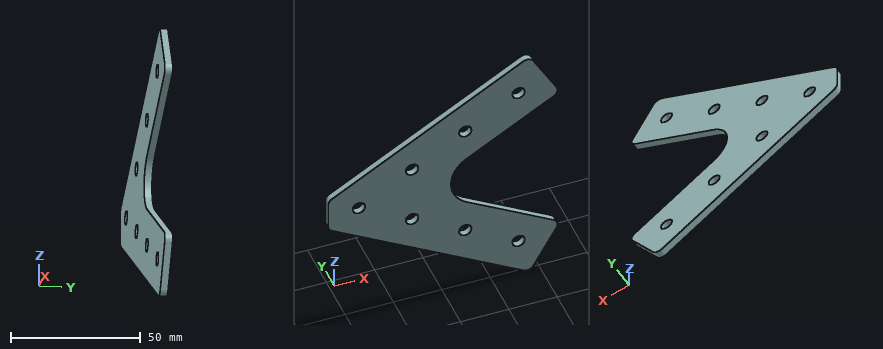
import cadquery as cq
import math

overall_height = 108.6
holes_per_arm = 3
hole_diameter = 5.1
thickness = 3.1
arm_angle = 30

margin_per_pitch = 1 / 2
corner_radius_per_pitch = 1 / 8

slope = math.radians(arm_angle)

tip_offset_per_pitch = margin_per_pitch - corner_radius_per_pitch
half_height_per_pitch = (
    holes_per_arm * math.sin(slope)
    + tip_offset_per_pitch * (math.sin(slope) + math.cos(slope))
    + corner_radius_per_pitch
)
hole_pitch = overall_height / 2 / half_height_per_pitch
margin = margin_per_pitch * hole_pitch
corner_radius = corner_radius_per_pitch * hole_pitch
inner_radius = margin
arm_length = holes_per_arm * hole_pitch + margin


def arm_point(along, across):
    """Point on the upper arm, measured from the vertex hole along and across its hole line."""
    return (
        along * math.cos(slope) - across * math.sin(slope),
        along * math.sin(slope) + across * math.cos(slope),
    )


def mirrored(point):
    return (point[0], -point[1])


nose_half_height = margin * math.tan((math.pi / 2 - slope) / 2)
nose_corner = (-margin, nose_half_height)
upper_outline = [
    nose_corner,
    arm_point(arm_length, margin),
    arm_point(arm_length, -margin),
]
crotch = (margin / math.sin(slope), 0)
lower_outline = [mirrored(point) for point in reversed(upper_outline)]
outline = upper_outline + [crotch] + lower_outline

plate = (
    cq.Workplane("XZ", origin=(0, thickness / 2, 0))
    .polyline(outline)
    .close()
    .extrude(thickness)
)

crotch_edge = cq.selectors.NearestToPointSelector((crotch[0], 0, 0))
corner_edges = plate.edges("|Y")
outer_corners = [edge for edge in corner_edges.vals() if abs(edge.Center().z) > corner_radius]
plate = plate.newObject(outer_corners).fillet(corner_radius)
plate = plate.edges("|Y").edges(crotch_edge).fillet(inner_radius)

upper_holes = [arm_point(i * hole_pitch, 0) for i in range(1, holes_per_arm + 1)]
hole_centres = [(0, 0)] + upper_holes + [mirrored(point) for point in upper_holes]
holes = (
    cq.Workplane("XZ", origin=(0, thickness / 2, 0))
    .pushPoints(hole_centres)
    .circle(hole_diameter / 2)
    .extrude(thickness)
)

result = plate.cut(holes)